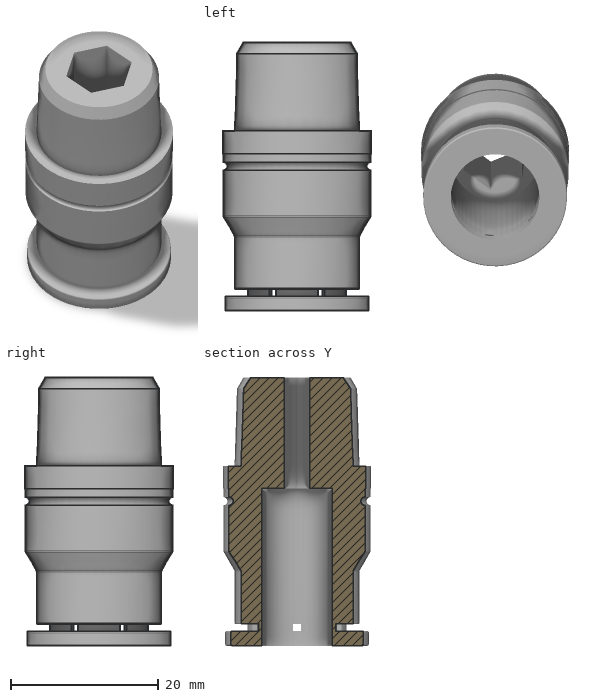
import cadquery as cq
import math

total_height = 36.4
flange_top = 2.0
barrel_bottom = 2.95
barrel_top = 10.15
groove_centre = 19.62
collar_bottom = 21.33
collar_top = 24.42
lead_in_height = 1.53

flange_diameter = 19.5
sleeve_diameter = 13.4
barrel_diameter = 16.93
body_diameter = 20.0
collar_diameter = 20.1
thread_diameter = 16.95

thread_taper = 1 / 16
cone_angle = math.radians(30)

flange_round = 0.22
barrel_chamfer = 0.1
cone_blend = 0.47
groove_radius = 0.55

bore_diameter = 12.0
bore_top = collar_bottom
hex_across_flats = 8.0

slot_count = 6
slot_width = 1.05


def disc(diameter, bottom, top):
    """Solid cylinder on the Z axis between two heights."""
    return cq.Workplane("XY").workplane(offset=bottom).circle(diameter / 2).extrude(top - bottom)


def revolve_outline(outline):
    """Turn a closed (radius, height) outline about the Z axis."""
    return outline.close().revolve(360, (0, 0, 0), (0, 1, 0))


def make_flange():
    """Round-edged disc at the bottom end."""
    return disc(flange_diameter, 0, flange_top).edges().fillet(flange_round)


def make_sleeve():
    """Slotted neck joining the flange to the barrel."""
    sleeve = disc(sleeve_diameter, flange_top, barrel_bottom)
    for index in range(slot_count):
        slot = (
            cq.Workplane("XY", origin=(0, 0, flange_top))
            .rect(slot_width, sleeve_diameter, centered=(True, False))
            .extrude(barrel_bottom - flange_top)
            .rotate((0, 0, 0), (0, 0, 1), index * 360 / slot_count)
        )
        sleeve = sleeve.cut(slot)
    return sleeve


def make_body():
    """Barrel, blended cone and grooved body below the collar."""
    barrel_radius = barrel_diameter / 2
    body_radius = body_diameter / 2
    body_bottom = barrel_top + (body_radius - barrel_radius) / math.tan(cone_angle)
    reach = cone_blend * math.tan(cone_angle / 2)
    cone_dr = reach * math.sin(cone_angle)
    cone_dz = reach * math.cos(cone_angle)
    outline = (
        cq.Workplane("XZ")
        .moveTo(0, barrel_bottom)
        .lineTo(barrel_radius - barrel_chamfer, barrel_bottom)
        .lineTo(barrel_radius, barrel_bottom + barrel_chamfer)
        .lineTo(barrel_radius, barrel_top - reach)
        .radiusArc((barrel_radius + cone_dr, barrel_top + cone_dz), cone_blend)
        .lineTo(body_radius - cone_dr, body_bottom - cone_dz)
        .radiusArc((body_radius, body_bottom + reach), -cone_blend)
        .lineTo(body_radius, groove_centre - groove_radius)
        .threePointArc(
            (body_radius - groove_radius, groove_centre),
            (body_radius, groove_centre + groove_radius),
        )
        .lineTo(body_radius, collar_bottom)
        .lineTo(0, collar_bottom)
    )
    return revolve_outline(outline)


def make_threaded_end():
    """Tapered pipe end with a conical lead-in at the top."""
    lead_in_bottom = total_height - lead_in_height
    base_radius = thread_diameter / 2
    upper_radius = base_radius - thread_taper / 2 * (lead_in_bottom - collar_top)
    tip_radius = upper_radius - lead_in_height * math.tan(cone_angle)
    outline = (
        cq.Workplane("XZ")
        .moveTo(0, collar_top)
        .lineTo(base_radius, collar_top)
        .lineTo(upper_radius, lead_in_bottom)
        .lineTo(tip_radius, total_height)
        .lineTo(0, total_height)
    )
    return revolve_outline(outline)


def make_hex_socket():
    """Hexagonal opening above the bore, with two corners on the Y axis."""
    across_corners = hex_across_flats / math.cos(math.pi / 6)
    return (
        cq.Workplane("XY")
        .workplane(offset=bore_top)
        .transformed(rotate=(0, 0, 90))
        .polygon(6, across_corners)
        .extrude(total_height - bore_top)
    )


collar = disc(collar_diameter, collar_bottom, collar_top)
bore = disc(bore_diameter, 0, bore_top)

result = (
    make_body()
    .union(collar)
    .union(make_threaded_end())
    .union(make_sleeve())
    .union(make_flange())
    .cut(bore)
    .cut(make_hex_socket())
)